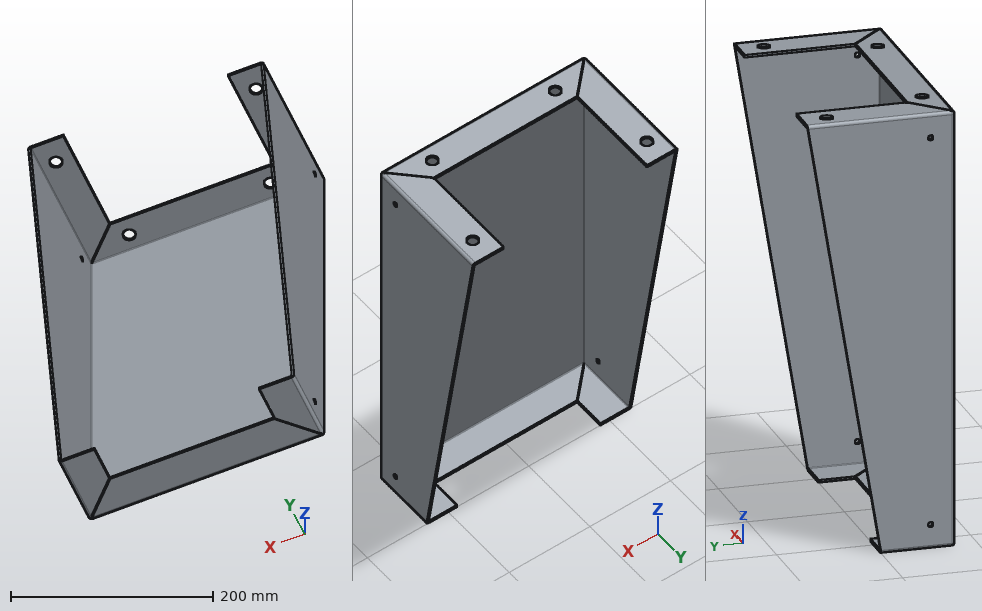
import cadquery as cq
import math

width = 254.0
height = 457.2
top_depth = 152.4
bottom_depth = top_depth / 2

sheet = 2.66
inner_bend_radius = 0.76
bend_radius = inner_bend_radius + sheet
flange_width = 38.1
miter_gap = 0.7
miter_angle = 45.0

mount_hole_diameter = 12.7
side_hole_diameter = 5.11
edge_inset = 25.4
rear_hole_x = width / 2 - flange_width / 2
rear_hole_y = top_depth - edge_inset
front_hole_x = width / 2 - 2 * edge_inset
front_hole_y = flange_width / 2


def rounded_block(inset, radius):
    """Block inside the envelope by `inset`, rounded on all folded edges and running past the open rear."""
    block = cq.Workplane("XY").box(
        width - 2 * inset,
        2 * top_depth,
        height - 2 * inset,
        centered=(True, False, True),
    )
    block = block.translate((0, inset, 0))
    block = block.edges("|Z and <Y").fillet(radius)
    return block.faces(">Z or <Z").edges("not >Y").fillet(radius)


def folded_shell():
    """Front, sides and full top and bottom walls, one sheet thick."""
    return rounded_block(0, bend_radius).cut(rounded_block(sheet, inner_bend_radius))


def side_profile():
    """Side outline across the full width: deep at the top, tapering to half that at the bottom."""
    top = height / 2
    outline = [(0, -top), (bottom_depth, -top), (top_depth, top), (0, top)]
    return cq.Workplane("YZ").polyline(outline).close().extrude(width / 2, both=True)


def flange_slab(vertical_side, depth):
    """Flat slab between the side bends, one sheet thick, at the top (+1) or bottom (-1)."""
    slab = cq.Workplane("XY").box(width - 2 * bend_radius, depth, sheet, centered=(True, False, True))
    return slab.translate((0, 0, vertical_side * (height - sheet) / 2))


def rear_trim():
    """Tapered outline for the sides and bends, with the flat flanges ending square at the rear."""
    trim = side_profile()
    for vertical_side, depth in ((1, top_depth), (-1, bottom_depth)):
        trim = trim.cut(flange_slab(vertical_side, top_depth))
        trim = trim.union(flange_slab(vertical_side, depth))
    return trim


def flange_opening():
    """Clearance that leaves the top and bottom walls as inward flanges."""
    opening = cq.Workplane("XY").box(
        width - 2 * flange_width, 2 * top_depth, height, centered=(True, False, True)
    )
    return opening.translate((0, flange_width, 0))


def miter_slits(side):
    """Slits between the side and front flanges, at 45 degrees from the bends to the inner corners."""
    run = flange_width - bend_radius
    middle = (flange_width + bend_radius) / 2
    slit = cq.Workplane("XY").box(run * math.sqrt(2), miter_gap, height)
    slit = slit.rotate((0, 0, 0), (0, 0, 1), -miter_angle * side)
    slit = slit.translate((side * (width / 2 - middle), middle, 0))
    core = cq.Workplane("XY").box(width, 2 * top_depth, height - 2 * bend_radius)
    return slit.cut(core)


def mount_holes():
    """Four holes through the top flanges only."""
    points = []
    for side in (-1, 1):
        points.append((side * rear_hole_x, rear_hole_y))
        points.append((side * front_hole_x, front_hole_y))
    plane = cq.Workplane("XY").workplane(offset=height / 2 - bend_radius)
    return plane.pushPoints(points).circle(mount_hole_diameter / 2).extrude(bend_radius)


def side_holes():
    """Small holes through both sides, near the front at the top and bottom."""
    hole_z = height / 2 - edge_inset
    points = [(edge_inset, hole_z), (edge_inset, -hole_z)]
    return cq.Workplane("YZ").pushPoints(points).circle(side_hole_diameter / 2).extrude(width / 2, both=True)


result = folded_shell().intersect(rear_trim()).cut(flange_opening())
for hand in (-1, 1):
    result = result.cut(miter_slits(hand))
result = result.cut(mount_holes()).cut(side_holes())